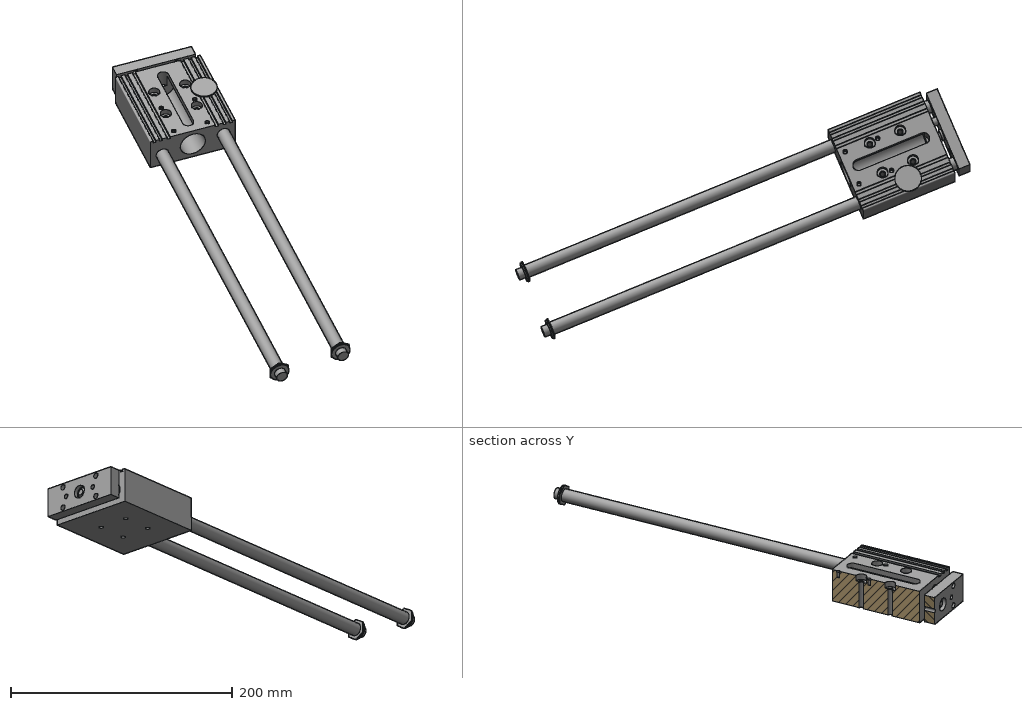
import cadquery as cq


housing_start = 15.8
housing_length = 90.0
housing_end = housing_start + housing_length
housing_width = 82.0
housing_height = 32.5
housing_top = housing_height / 2

bore_diameter = 24.0
bore_start = 26.5
slot_start = 24.0
slot_end = 98.5
slot_width = 10.5

groove_depth = 2.0
inner_groove_width = 3.0
outer_groove_width = 2.5
grooves = ((23.2, inner_groove_width), (30.7, outer_groove_width), (37.0, outer_groove_width))
edge_rounding = 1.0
label_diameter = 24.0
label_thickness = 1.2
label_x = 57.0
label_y = (housing_width - label_diameter) / 2

mount_x = (46.0, 76.0)
mount_y = 15.0
mount_hole_diameter = 4.0
mount_counterbore_diameter = 10.0
mount_counterbore_depth = 5.5
mount_step_diameter = 5.5
mount_step_depth = 6.5
port_x = (67.5, 99.5)
port_y = 16.0
port_diameter = 4.03
port_depth = 1.5
port_hole_diameter = 3.25
port_hole_depth = 6.5

plate_thickness = 10.8
plate_width = 76.5
plate_height = 27.5
corner_hole_y = 20.0
corner_hole_z = 10.0
side_hole_y = 16.0
corner_hole_diameter = 5.0
side_hole_diameter = 4.0
center_recess_diameter = 12.0
center_recess_depth = 4.0
screw_head_diameter = 10.0
screw_head_height = 2.5
screw_head_chamfer = 2.3

collar_diameter = 10.5
collar_length = 2.0
piston_rod_diameter = 6.5
side_pin_diameter = 8.0
side_pin_y = -12.5
side_pin_z = 6.2

rod_diameter = 12.0
rod_end_diameter = 10.5
rod_y = 29.5
rod_z = 3.0
total_length = 415.0
nut_start = 406.5
nut_corner_diameter = 20.0
nut_sides = 6
nut_turn = 90
nut_thickness = 1.2
washer_diameter = 18.0
washer_thickness = 1.2
washer_start = nut_start + nut_thickness
washer_end = washer_start + washer_thickness

rod_axes = ((rod_y, rod_z), (-rod_y, -rod_z))


def x_cylinder(diameter, start, end, y=0.0, z=0.0):
    """Cylinder along X from start to end, centred on (y, z)."""
    plane = cq.Workplane("YZ", origin=(start, y, z))
    return plane.circle(diameter / 2).extrude(end - start)


def x_box(start, end, width, height, y=0.0, z=0.0):
    """Box along X from start to end, centred on (y, z)."""
    plane = cq.Workplane("YZ", origin=(start, y, z))
    return plane.rect(width, height).extrude(end - start)


def top_face():
    """Workplane on the top of the housing, keeping the X and Y of the part."""
    return cq.Workplane("XY", origin=(0, 0, housing_top))


def cut_top_grooves(body):
    for offset, width in grooves:
        for side in (1, -1):
            body = body.cut(
                x_box(housing_start, housing_end, width, 2 * groove_depth, side * offset, housing_top)
            )
    return body


def cut_bore_and_slot(body):
    body = body.cut(x_cylinder(bore_diameter, bore_start, housing_end))
    slot = (
        top_face()
        .center((slot_start + slot_end) / 2, 0)
        .slot2D(slot_end - slot_start, slot_width)
        .extrude(-housing_top)
    )
    return body.cut(slot)


def cut_top_holes(body):
    mounts = top_face().pushPoints([(x, y) for x in mount_x for y in (mount_y, -mount_y)])
    body = body.cut(mounts.circle(mount_hole_diameter / 2).extrude(-housing_height))
    body = body.cut(mounts.circle(mount_counterbore_diameter / 2).extrude(-mount_counterbore_depth))
    body = body.cut(mounts.circle(mount_step_diameter / 2).extrude(-mount_step_depth))
    ports = top_face().pushPoints([(x, y) for x in port_x for y in (port_y, -port_y)])
    body = body.cut(ports.circle(port_diameter / 2).extrude(-port_depth))
    return body.cut(ports.circle(port_hole_diameter / 2).extrude(-port_hole_depth))


def cut_rod_holes(body):
    for y, z in rod_axes:
        body = body.cut(x_cylinder(rod_diameter, housing_start, housing_end, y, z))
    return body


def make_housing():
    body = x_box(housing_start, housing_end, housing_width, housing_height)
    body = body.edges("|X and >Z").fillet(edge_rounding)
    body = cut_top_grooves(body)
    body = cut_bore_and_slot(body)
    label = top_face().center(label_x, label_y).circle(label_diameter / 2).extrude(label_thickness)
    body = body.union(label)
    body = cut_top_holes(body)
    return cut_rod_holes(body)


def make_end_plate():
    plate = x_box(0, plate_thickness, plate_width, plate_height)
    for y in (corner_hole_y, -corner_hole_y):
        for z in (corner_hole_z, -corner_hole_z):
            plate = plate.cut(x_cylinder(corner_hole_diameter, 0, plate_thickness, y, z))
    for y in (side_hole_y, -side_hole_y):
        plate = plate.cut(x_cylinder(side_hole_diameter, 0, plate_thickness, y))
    plate = plate.cut(x_cylinder(center_recess_diameter, 0, center_recess_depth))
    head_start = center_recess_depth - screw_head_height
    head = x_cylinder(screw_head_diameter, head_start, center_recess_depth)
    head = head.faces("<X").chamfer(screw_head_chamfer)
    return plate.union(head)


def make_guide_rod(y, z):
    rod = x_cylinder(rod_diameter, plate_thickness, nut_start, y, z)
    nut = (
        cq.Workplane("YZ", origin=(nut_start, y, z))
        .transformed(rotate=(0, 0, nut_turn))
        .polygon(nut_sides, nut_corner_diameter)
        .extrude(nut_thickness)
    )
    washer = x_cylinder(washer_diameter, washer_start, washer_end, y, z)
    tip = x_cylinder(rod_end_diameter, washer_end, total_length, y, z)
    return rod.union(nut).union(washer).union(tip)


def make_slide():
    body = make_end_plate()
    for y, z in rod_axes:
        body = body.union(make_guide_rod(y, z))
    body = body.union(x_cylinder(collar_diameter, plate_thickness, plate_thickness + collar_length))
    body = body.union(x_cylinder(piston_rod_diameter, plate_thickness, housing_start))
    return body.union(
        x_cylinder(side_pin_diameter, plate_thickness, housing_start, side_pin_y, side_pin_z)
    )


housing = make_housing()
slide = make_slide()

result = cq.Compound.makeCompound([housing.val(), slide.val()])